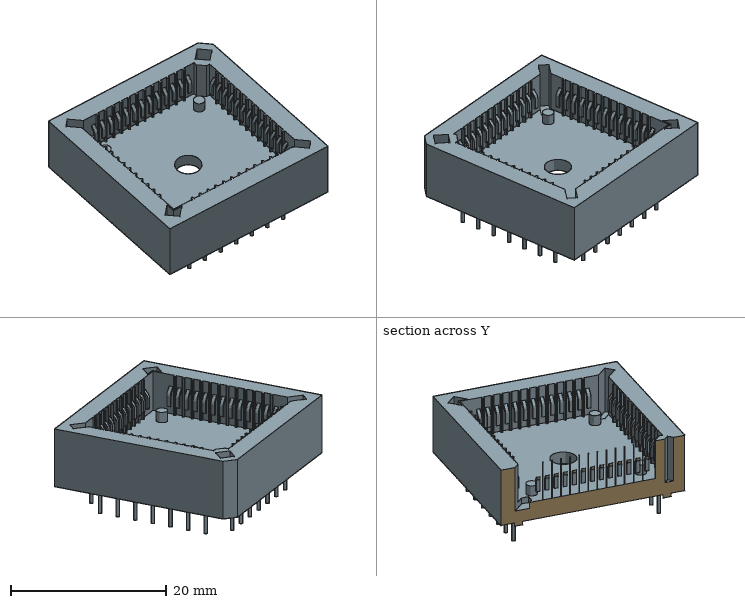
import cadquery as cq
import math

BODY_SIDE = 25.72
BODY_HEIGHT = 8.08
BODY_CHAMFER = 1.4

CAVITY_SIDE = 20.4
CAVITY_DEPTH = 5.45
CENTRE_HOLE_DIAMETER = 3.5

KEY_REACH = 1.45
KEY_STEP = 0.5

CONTACT_PITCH = 1.27
CONTACTS_PER_SIDE = 13
CONTACT_WIDTH = 0.51
CONTACT_REACH = 0.67
CONTACT_THICKNESS = 0.25
CONTACT_DROP = 1.62
CONTACT_LENGTH = 2.57
CONTACT_BEND_RADIUS = 0.98
CONTACT_SLOPE = 50.0
WALL_EMBED = 0.13
RIB_WIDTH = 0.3
RIB_REACH = 0.35
RIB_CHAMFER = 0.1

RECESS_DEPTH = 6.3
POCKET_SIDE = 1.93
POCKET_CENTRE = 10.67
NOTCH_POCKET_CENTRE = 10.4
SLOT_WIDTH = 1.4
SLOT_OUTER_END = 15.85
SLOT_INNER_CORNER = 8.35

POST_DIAMETER = 1.5
POST_HEIGHT = 1.45
POST_OFFSET = 6 * CONTACT_PITCH

STANDOFF_DIAMETER = 1.75
STANDOFF_HEIGHT = 0.5
STANDOFF_X = 10.4
STANDOFF_Y = 10.5
PIN_PITCH = 2 * CONTACT_PITCH
PINS_PER_SIDE = 7
PIN_DIAMETER = 0.46
PIN_LENGTH = 3.68
PIN_ROW_OFFSET = 4 * PIN_PITCH

UNDERSIDE_RECESS_SIDE = 12.85
UNDERSIDE_RECESS_DEPTH = 0.93

WALL = CAVITY_SIDE / 2
FLOOR_Z = BODY_HEIGHT - CAVITY_DEPTH
RECESS_FLOOR_Z = BODY_HEIGHT - RECESS_DEPTH
WALL_ANGLES = (0, 90, 180, 270)


def row_positions(count, pitch):
    """Evenly spaced positions centred on zero."""
    return [(i - (count - 1) / 2) * pitch for i in range(count)]


def mirrored_points(x, y):
    """One point in each quadrant."""
    return [(x, y), (-x, y), (-x, -y), (x, -y)]


def make_housing():
    block = cq.Workplane("XY").box(BODY_SIDE, BODY_SIDE, BODY_HEIGHT, centered=(True, True, False))
    block = block.edges("|Z and <X and >Y").chamfer(BODY_CHAMFER)
    key_inner = WALL - KEY_REACH
    key_outer = WALL - KEY_STEP
    cavity = (
        cq.Workplane("XY", origin=(0, 0, FLOOR_Z))
        .moveTo(-WALL, -WALL)
        .lineTo(WALL, -WALL)
        .lineTo(WALL, WALL)
        .lineTo(-key_inner, WALL)
        .lineTo(-key_inner, key_outer)
        .lineTo(-key_outer, key_inner)
        .lineTo(-WALL, key_inner)
        .close()
        .extrude(CAVITY_DEPTH)
    )
    hole = cq.Workplane("XY").circle(CENTRE_HOLE_DIAMETER / 2).extrude(BODY_HEIGHT)
    underside_recess = (
        cq.Workplane("XY")
        .rect(UNDERSIDE_RECESS_SIDE, UNDERSIDE_RECESS_SIDE)
        .extrude(UNDERSIDE_RECESS_DEPTH)
    )
    return block.cut(cavity).cut(hole).cut(underside_recess)


def make_diamond(x, y):
    """Square pocket turned 45 degrees, centred at (x, y)."""
    return (
        cq.Workplane("XY")
        .rect(POCKET_SIDE, POCKET_SIDE)
        .extrude(RECESS_DEPTH)
        .rotate((0, 0, 0), (0, 0, 1), 45)
        .translate((x, y, RECESS_FLOOR_Z))
    )


def make_notched_pocket():
    """Diamond pocket that leaves a thin wall around the (+X, -Y) cavity corner."""
    corner = NOTCH_POCKET_CENTRE
    kept_wall = (
        cq.Workplane("XY", origin=(corner, -corner, RECESS_FLOOR_Z))
        .rect(-POCKET_SIDE, POCKET_SIDE, centered=False)
        .extrude(RECESS_DEPTH)
    )
    return make_diamond(corner, -corner).cut(kept_wall)


def make_diagonal_slot():
    """Slot along the (+X, +Y) diagonal with a square-cornered inner end."""
    strip = (
        cq.Workplane("XY")
        .rect(SLOT_OUTER_END, SLOT_WIDTH)
        .extrude(RECESS_DEPTH)
        .translate((SLOT_OUTER_END / 2, 0, RECESS_FLOOR_Z))
        .rotate((0, 0, 0), (0, 0, 1), 45)
    )
    corner_quadrant = (
        cq.Workplane("XY", origin=(SLOT_INNER_CORNER, SLOT_INNER_CORNER, RECESS_FLOOR_Z))
        .rect(BODY_SIDE, BODY_SIDE, centered=False)
        .extrude(RECESS_DEPTH)
    )
    return strip.intersect(corner_quadrant)


def make_contact():
    """Spring contact on the +X wall: slopes down from the wall, then hangs clear of it."""
    slope = math.radians(CONTACT_SLOPE)
    full_turn = math.pi / 2 - slope
    half_turn = full_turn / 2
    front = WALL - CONTACT_REACH
    back = front + CONTACT_THICKNESS
    root = WALL + WALL_EMBED
    wall_z = BODY_HEIGHT - CONTACT_DROP
    root_z = wall_z + WALL_EMBED * math.tan(slope)
    bottom_z = wall_z - CONTACT_LENGTH
    corner_z = wall_z - CONTACT_REACH * math.tan(slope)
    inner_radius = CONTACT_BEND_RADIUS - CONTACT_THICKNESS
    bend_x = front + CONTACT_BEND_RADIUS
    bend_z = corner_z - CONTACT_BEND_RADIUS * math.tan(half_turn)

    def bend_point(radius, turn):
        return (bend_x - radius * math.cos(turn), bend_z + radius * math.sin(turn))

    profile = (
        cq.Workplane("XZ")
        .moveTo(root, root_z)
        .lineTo(*bend_point(CONTACT_BEND_RADIUS, full_turn))
        .threePointArc(bend_point(CONTACT_BEND_RADIUS, half_turn), bend_point(CONTACT_BEND_RADIUS, 0))
        .lineTo(front, bottom_z)
        .lineTo(back, bottom_z)
        .lineTo(*bend_point(inner_radius, 0))
        .threePointArc(bend_point(inner_radius, half_turn), bend_point(inner_radius, full_turn))
        .lineTo(root, root_z - CONTACT_THICKNESS / math.cos(slope))
        .close()
    )
    return profile.extrude(CONTACT_WIDTH / 2, both=True)


def make_rib():
    """Full-height divider on the +X wall with chamfered outer corners."""
    length = RIB_REACH + WALL_EMBED
    return (
        cq.Workplane("XY", origin=(WALL - RIB_REACH + length / 2, 0, FLOOR_Z))
        .rect(length, RIB_WIDTH)
        .extrude(CAVITY_DEPTH)
        .edges("|Z and <X")
        .chamfer(RIB_CHAMFER)
    )


def add_wall_rows(body):
    contact = make_contact()
    rib = make_rib()
    row = [contact.translate((0, y, 0)) for y in row_positions(CONTACTS_PER_SIDE, CONTACT_PITCH)]
    row += [rib.translate((0, y, 0)) for y in row_positions(CONTACTS_PER_SIDE - 1, CONTACT_PITCH)]
    pieces = [
        piece.rotate((0, 0, 0), (0, 0, 1), angle).val()
        for angle in WALL_ANGLES
        for piece in row
    ]
    return cq.Workplane(body.val().fuse(*pieces))


def make_posts():
    return (
        cq.Workplane("XY", origin=(0, 0, FLOOR_Z))
        .pushPoints(mirrored_points(POST_OFFSET, POST_OFFSET))
        .circle(POST_DIAMETER / 2)
        .extrude(POST_HEIGHT)
    )


def make_standoffs():
    return (
        cq.Workplane("XY")
        .pushPoints(mirrored_points(STANDOFF_X, STANDOFF_Y))
        .circle(STANDOFF_DIAMETER / 2)
        .extrude(-STANDOFF_HEIGHT)
    )


def make_pins():
    """One row of terminal pins along each side of the underside."""
    along = row_positions(PINS_PER_SIDE, PIN_PITCH)
    points = []
    for side in (-PIN_ROW_OFFSET, PIN_ROW_OFFSET):
        points += [(side, y) for y in along]
        points += [(x, side) for x in along]
    return cq.Workplane("XY").pushPoints(points).circle(PIN_DIAMETER / 2).extrude(-PIN_LENGTH)


slot = make_diagonal_slot()
opposite_slot = slot.rotate((0, 0, 0), (0, 0, 1), 180)

housing = (
    make_housing()
    .cut(make_diamond(-POCKET_CENTRE, POCKET_CENTRE))
    .cut(make_notched_pocket())
    .cut(slot)
    .cut(opposite_slot)
)
result = add_wall_rows(housing).union(make_posts()).union(make_standoffs()).union(make_pins())